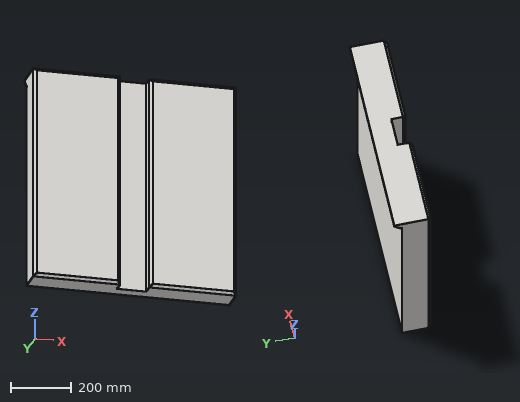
import cadquery as cq

width = 696.0
depth = 126.0
height = 743.0

slab_thickness = 100.0
lip_reach = depth - slab_thickness
lip_edge = 5.0

groove_width = 99.5
groove_depth = 50.0
pad_chamfer = 10.5
pad_width = (width - groove_width) / 2

front_y = -depth / 2
groove_floor_y = front_y + groove_depth
slab_back_y = front_y + slab_thickness
lip_back_y = depth / 2
bottom_z = -height / 2
top_z = height / 2


def make_back_slab():
    """Slab behind the groove, with the lip sloping back at 45 degrees below its thin edge."""
    profile = [
        (groove_floor_y, bottom_z),
        (slab_back_y, bottom_z),
        (slab_back_y, top_z - lip_edge - lip_reach),
        (lip_back_y, top_z - lip_edge),
        (lip_back_y, top_z),
        (groove_floor_y, top_z),
    ]
    return cq.Workplane("YZ").polyline(profile).close().extrude(width / 2, both=True)


def make_pad(center_x):
    """Full-height raised pad with its front edges chamfered all round."""
    pad = cq.Workplane("XY").box(pad_width, groove_depth, height)
    pad = pad.faces("<Y").edges().chamfer(pad_chamfer)
    return pad.translate((center_x, front_y + groove_depth / 2, 0))


pad_offset = (groove_width + pad_width) / 2
result = make_back_slab()
for side in (-1, 1):
    result = result.union(make_pad(side * pad_offset))
result = result.clean()